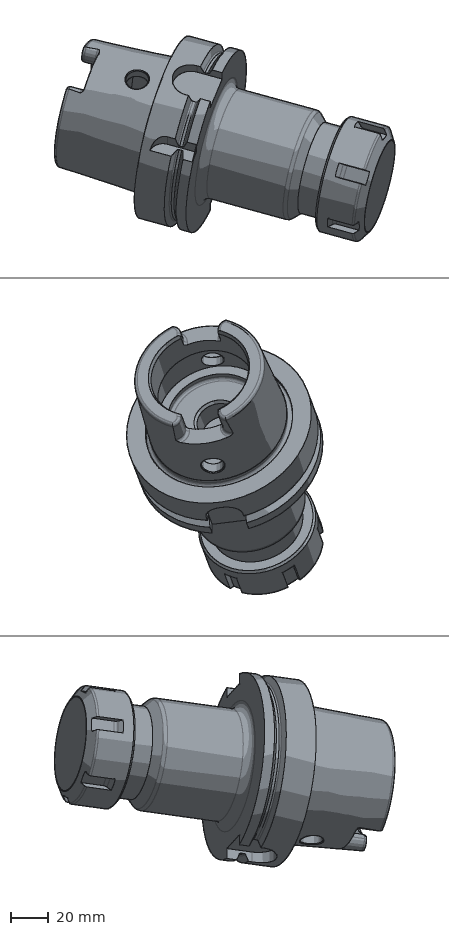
import cadquery as cq
import math

overall_length = 170.0

shank_length = 50.0
taper_length = 47.5
taper_small_radius = 35.0
taper_large_radius = 37.4
shank_end_fillet = 1.7
relief_radius = 37.0
relief_start = 48.1

bore_radius = 26.4
mouth_radius = 27.4
mouth_chamfer_length = 2.0
clamp_shoulder_start = 19.2
clamp_radius = 31.5
clamp_shoulder_length = 2.9
clamp_end = 41.6
bore_depth = 45.9
bore_floor_fillet = 1.7
coolant_hole_radius = 11.2
coolant_chamfer = 1.4
coolant_hole_depth = 13.6

drive_slot_half_width = 10.0
drive_slot_corner = 5.5
drive_slot_top = 32.1
drive_slot_depths = {1: 9.5, -1: 14.8}
drive_slot_floor_fillet = 1.7

access_hole_x = 34.8
access_hole_radius = 6.0
access_hole_chamfer = 0.5

flange_radius = 50.0
flange_end = 78.9
face_recess_radius = 39.8
face_recess_depth = 2.2
groove_root_radius = 45.9
groove_centre_x = 70.0
groove_mouth_width = 6.6
groove_root_width = 2.9
groove_root_fillet = 1.0

keyway_start = 54.9
keyway_half_width = 9.9
keyway_floor = 43.4
notch_offset = 31.8
notch_end_radius = 7.5
notch_end_wall = 0.3

body_radius = 30.1
body_root_fillet = 5.0
body_end = 127.5
body_edge_fillet = 3.0
neck_radius = 25.0
neck_start = 132.8

nut_start = 144.5
nut_radius = 31.6
nut_back_chamfer = 1.2
nut_front_radius = 25.5
nut_front_chamfer_start = 166.0
nut_edge_fillet = 1.4
nut_slot_count = 6
nut_slot_width = 7.5
nut_slot_floor = 28.2
nut_slot_start = 151.5
nut_slot_ramp_angle = 50.0
nut_slot_ramp_fillet = 2.5


def revolve_about_x(profile):
    """Turn a closed profile, drawn with x along the axis and y as radius, about the X axis."""
    return profile.close().revolve(360, (0, 0, 0), (1, 0, 0))


def ring_selector(x, radius):
    """Select the seam-closed circular edges about the X axis in a thin slab at x."""
    return cq.selectors.BoxSelector(
        (x - 0.08, -radius, -radius),
        (x + 0.08, radius, radius),
    )


def make_holder_blank():
    floor_x = shank_length + face_recess_depth
    groove_mouth_left = groove_centre_x - groove_mouth_width / 2
    groove_root_left = groove_centre_x - groove_root_width / 2
    profile = (
        cq.Workplane("XY")
        .moveTo(0, 0)
        .lineTo(0, taper_small_radius)
        .lineTo(taper_length, taper_large_radius)
        .lineTo(relief_start, relief_radius)
        .lineTo(shank_length, relief_radius)
        .radiusArc((floor_x, relief_radius + face_recess_depth), -face_recess_depth)
        .lineTo(floor_x, face_recess_radius)
        .lineTo(shank_length, face_recess_radius)
        .lineTo(shank_length, flange_radius)
        .lineTo(groove_mouth_left, flange_radius)
        .lineTo(groove_root_left, groove_root_radius)
        .lineTo(groove_root_left + groove_root_width, groove_root_radius)
        .lineTo(groove_mouth_left + groove_mouth_width, flange_radius)
        .lineTo(flange_end, flange_radius)
        .lineTo(flange_end, body_radius + body_root_fillet)
        .radiusArc((flange_end + body_root_fillet, body_radius), -body_root_fillet)
        .lineTo(body_end, body_radius)
        .lineTo(neck_start, neck_radius)
        .lineTo(overall_length, neck_radius)
        .lineTo(overall_length, 0)
    )
    blank = revolve_about_x(profile).faces("<X").edges().fillet(shank_end_fillet)
    for edge_x, edge_radius, fillet_radius in (
        (groove_root_left, groove_root_radius, groove_root_fillet),
        (groove_root_left + groove_root_width, groove_root_radius, groove_root_fillet),
        (body_end, body_radius, body_edge_fillet),
    ):
        blank = blank.edges(ring_selector(edge_x, edge_radius)).fillet(fillet_radius)
    return blank


def make_bore():
    shoulder_end = clamp_shoulder_start + clamp_shoulder_length
    coolant_end = bore_depth + coolant_hole_depth
    profile = (
        cq.Workplane("XY")
        .moveTo(0, 0)
        .lineTo(0, mouth_radius)
        .lineTo(mouth_chamfer_length, bore_radius)
        .lineTo(clamp_shoulder_start, bore_radius)
        .lineTo(shoulder_end, clamp_radius)
        .lineTo(clamp_end, clamp_radius)
        .lineTo(clamp_end, bore_radius)
        .lineTo(bore_depth - bore_floor_fillet, bore_radius)
        .radiusArc((bore_depth, bore_radius - bore_floor_fillet), bore_floor_fillet)
        .lineTo(bore_depth, coolant_hole_radius + coolant_chamfer)
        .lineTo(bore_depth + coolant_chamfer, coolant_hole_radius)
        .lineTo(coolant_end, coolant_hole_radius)
        .lineTo(coolant_end, 0)
    )
    return revolve_about_x(profile)


def make_drive_slot(side):
    """Cutter for a slot with rounded floor and mouth edges; side is +1 at +Z and -1 at -Z.

    The side walls flare outward in an arc. A plate in front of the end face carries the mouth
    rounding, which turns the slot walls into the end face.
    """
    inner_z = drive_slot_top / 2
    outer_z = flange_radius
    arc_start_z = drive_slot_top - drive_slot_corner
    flare_half_width = drive_slot_half_width + drive_slot_corner
    slot = (
        cq.Workplane("YZ")
        .moveTo(-drive_slot_half_width, inner_z)
        .lineTo(drive_slot_half_width, inner_z)
        .lineTo(drive_slot_half_width, arc_start_z)
        .radiusArc((flare_half_width, drive_slot_top), drive_slot_corner)
        .lineTo(flange_radius, drive_slot_top)
        .lineTo(flange_radius, outer_z)
        .lineTo(-flange_radius, outer_z)
        .lineTo(-flange_radius, drive_slot_top)
        .lineTo(-flare_half_width, drive_slot_top)
        .radiusArc((-drive_slot_half_width, arc_start_z), drive_slot_corner)
        .close()
        .extrude(drive_slot_depths[side])
        .faces(">X")
        .edges()
        .fillet(drive_slot_floor_fillet)
    )
    plate = cq.Workplane("YZ").rect(4 * flange_radius, 4 * flange_radius).extrude(-shank_end_fillet)
    mouth_edges = cq.selectors.BoxSelector(
        (-0.2, -1.1 * flange_radius, 0),
        (0.2, 1.1 * flange_radius, 1.1 * flange_radius),
    )
    cutter = plate.union(slot).edges(mouth_edges).fillet(shank_end_fillet)
    return cutter if side > 0 else cutter.mirror("XY")


def cut_access_holes(holder):
    """Drill straight through the shank along Z and chamfer both outer rims."""
    holder = holder.cut(
        cq.Workplane("XY", origin=(access_hole_x, 0, 0))
        .circle(access_hole_radius)
        .extrude(flange_radius, both=True)
    )
    for side in (1, -1):
        outer_rim = cq.selectors.NearestToPointSelector((access_hole_x, 0, side * taper_large_radius))
        holder = holder.edges(outer_rim).chamfer(access_hole_chamfer)
    return holder


def make_keyway(side):
    """Round-ended keyway open toward the body; side is +1 at +Z and -1 at -Z."""
    arc_end_x = keyway_start + keyway_half_width
    keyway = (
        cq.Workplane("XY", origin=(0, 0, keyway_floor))
        .moveTo(flange_end, -keyway_half_width)
        .lineTo(arc_end_x, -keyway_half_width)
        .threePointArc((keyway_start, 0), (arc_end_x, keyway_half_width))
        .lineTo(flange_end, keyway_half_width)
        .close()
        .extrude(flange_radius)
    )
    return keyway if side > 0 else keyway.mirror("XY")


def make_orientation_notch():
    """Square notch at the -Y, +Z corner of the flange, closed at the back by a thin wall."""
    arc_start_y = -notch_offset - notch_end_radius
    start_x = keyway_start
    end_x = flange_end - notch_end_wall
    return (
        cq.Workplane("XY", origin=(0, 0, notch_offset))
        .moveTo(start_x, -flange_radius)
        .lineTo(start_x, arc_start_y)
        .radiusArc((start_x + notch_end_radius, -notch_offset), notch_end_radius)
        .lineTo(end_x, -notch_offset)
        .lineTo(end_x, -flange_radius)
        .close()
        .extrude(flange_radius)
    )


def make_holder():
    holder = make_holder_blank().cut(make_bore())
    for side in (1, -1):
        holder = holder.cut(make_drive_slot(side))
        holder = holder.cut(make_keyway(side))
    holder = holder.cut(make_orientation_notch())
    return cut_access_holes(holder)


def make_nut_slot(index):
    """Spanner slot whose floor ramps up to the outside at its inner end."""
    ramp_run = (nut_radius - nut_slot_floor) / math.tan(math.radians(nut_slot_ramp_angle))
    ramp_foot = cq.selectors.NearestToPointSelector((nut_slot_start + ramp_run, 0, nut_slot_floor))
    slot = (
        cq.Workplane("XZ")
        .moveTo(nut_slot_start + ramp_run, nut_slot_floor)
        .lineTo(overall_length, nut_slot_floor)
        .lineTo(overall_length, nut_radius + 1.7)
        .lineTo(nut_slot_start, nut_radius + 1.7)
        .lineTo(nut_slot_start, nut_radius)
        .close()
        .extrude(nut_slot_width / 2, both=True)
        .edges(ramp_foot)
        .fillet(nut_slot_ramp_fillet)
    )
    return slot.rotate((0, 0, 0), (1, 0, 0), 90 + index * 360 / nut_slot_count)


def make_nut():
    profile = (
        cq.Workplane("XY")
        .moveTo(nut_start, neck_radius)
        .lineTo(nut_start, nut_radius - nut_back_chamfer)
        .lineTo(nut_start + nut_back_chamfer, nut_radius)
        .lineTo(nut_front_chamfer_start, nut_radius)
        .lineTo(overall_length, nut_front_radius)
        .lineTo(overall_length, neck_radius)
    )
    front_edge = cq.selectors.NearestToPointSelector((nut_front_chamfer_start, 0, nut_radius))
    nut = revolve_about_x(profile).edges(front_edge).fillet(nut_edge_fillet)
    for index in range(nut_slot_count):
        nut = nut.cut(make_nut_slot(index))
    return nut


holder = make_holder()
nut = make_nut()
result = cq.Compound.makeCompound([holder.val(), nut.val()])